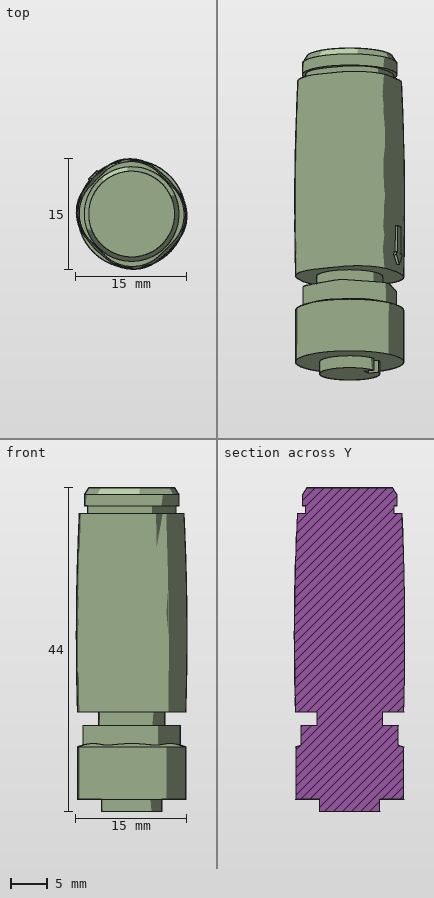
import cadquery as cq
import math

NUT_BOTTOM = 1.65
NUT_SHOULDER = 8.8
HEX_TOP = 11.7
GRIP_BOTTOM = 13.5
GRIP_WIDEST = 25.5
GRIP_TOP = 40.5
CAP_BOTTOM = 41.5
TOTAL_HEIGHT = 44.0

NOSE_RADIUS = 4.1
NUT_RADIUS = 7.35
NECK_RADIUS = 4.5
CAP_RADIUS = 6.43
CAP_CHAMFER_WIDTH = 0.6
CAP_CHAMFER_HEIGHT = 0.95

HEX_ACROSS_FLATS = 12.0
HEX_CORNER_FILLET = 2.0
NUT_CONE_ANGLE = 18.0

GRIP_SECTIONS = [
    (GRIP_BOTTOM, 7.36, (2.87, 6.22, 4.6), (3.38, 6.34, 5.04)),
    (GRIP_WIDEST, 7.515, (3.15, 6.30, 4.86), (3.50, 6.37, 5.07)),
    (GRIP_TOP, 7.12, (3.27, 5.95, 4.62), (3.35, 6.02, 4.73)),
]
GROOVE_SECTION = (GRIP_TOP, 6.03, (2.70, 5.05, 3.94), (2.82, 5.15, 4.06))

KEY_DIRECTION = 135.0
ARROW_FACE_DISTANCE = 7.5
ARROW_ROOT_DISTANCE = 6.5
ARROW_SHAFT_WIDTH = 0.97
ARROW_HEAD_WIDTH = 1.66
ARROW_TOP = 19.8
ARROW_HEAD_TOP = 16.1
ARROW_HEAD_SHOULDER = 15.7
ARROW_TIP = 14.5
KEYWAY_WIDTH = 1.44
KEYWAY_FLOOR_DISTANCE = 2.5


def cylinder(radius, bottom, top):
    """Solid cylinder about the Z axis between two heights."""
    return cq.Workplane("XY").workplane(offset=bottom).circle(radius).extrude(top - bottom)


def make_nose():
    """Short plug end with a keyway in its side."""
    nose = cylinder(NOSE_RADIUS, 0, NUT_BOTTOM)
    keyway = (
        cq.Workplane("XY")
        .center(KEYWAY_FLOOR_DISTANCE + NOSE_RADIUS / 2, 0)
        .rect(NOSE_RADIUS, KEYWAY_WIDTH)
        .extrude(NUT_BOTTOM)
        .rotate((0, 0, 0), (0, 0, 1), KEY_DIRECTION)
    )
    return nose.cut(keyway)


def make_nut():
    """Round nut whose shoulder rises as a shallow cone to a hexagon with rounded corners."""
    cone_top_radius = HEX_ACROSS_FLATS / 2
    cone_height = (NUT_RADIUS - cone_top_radius) * math.tan(math.radians(NUT_CONE_ANGLE))
    body = (
        cq.Workplane("XZ")
        .moveTo(0, NUT_BOTTOM)
        .lineTo(NUT_RADIUS, NUT_BOTTOM)
        .lineTo(NUT_RADIUS, NUT_SHOULDER)
        .lineTo(cone_top_radius, NUT_SHOULDER + cone_height)
        .lineTo(0, NUT_SHOULDER + cone_height)
        .close()
        .revolve(360, (0, 0, 0), (0, 1, 0))
    )
    hexagon = (
        cq.Workplane("XY")
        .workplane(offset=NUT_SHOULDER)
        .polygon(6, HEX_ACROSS_FLATS / math.cos(math.pi / 6))
        .extrude(HEX_TOP - NUT_SHOULDER)
        .edges("|Z")
        .fillet(HEX_CORNER_FILLET)
    )
    return body.union(hexagon)


def rounded_square(height, crest, narrow, wide):
    """Closed rounded-square wire: four crest arcs joined by four bent panels."""
    low_n, high_n, middle_n = narrow
    low_w, high_w, middle_w = wide
    return (
        cq.Workplane("XY")
        .workplane(offset=height)
        .moveTo(high_w, -low_w)
        .threePointArc((crest, 0), (high_n, low_n))
        .lineTo(middle_n, middle_n)
        .lineTo(low_n, high_n)
        .threePointArc((0, crest), (-low_w, high_w))
        .lineTo(-middle_w, middle_w)
        .lineTo(-high_w, low_w)
        .threePointArc((-crest, 0), (-high_n, -low_n))
        .lineTo(-middle_n, -middle_n)
        .lineTo(-low_n, -high_n)
        .threePointArc((0, -crest), (low_w, -high_w))
        .lineTo(middle_w, -middle_w)
        .close()
        .val()
    )


def make_grip():
    """Barrel-shaped grip lofted smoothly through its cross-sections."""
    wires = [rounded_square(*section) for section in GRIP_SECTIONS]
    return cq.Workplane(cq.Solid.makeLoft(wires))


def make_arrow():
    """Raised arrow with a flat face, reaching into the grip so that it joins it."""
    shaft = ARROW_SHAFT_WIDTH / 2
    head = ARROW_HEAD_WIDTH / 2
    outline = [
        (-shaft, ARROW_TOP),
        (-shaft, ARROW_HEAD_TOP),
        (-head, ARROW_HEAD_TOP),
        (-head, ARROW_HEAD_SHOULDER),
        (0, ARROW_TIP),
        (head, ARROW_HEAD_SHOULDER),
        (head, ARROW_HEAD_TOP),
        (shaft, ARROW_HEAD_TOP),
        (shaft, ARROW_TOP),
    ]
    return (
        cq.Workplane("YZ")
        .workplane(offset=ARROW_ROOT_DISTANCE)
        .polyline(outline)
        .close()
        .extrude(ARROW_FACE_DISTANCE - ARROW_ROOT_DISTANCE)
        .rotate((0, 0, 0), (0, 0, 1), KEY_DIRECTION)
    )


def make_groove():
    """Recessed band under the cap, a smaller rounded square like the grip's."""
    face = cq.Face.makeFromWires(rounded_square(*GROOVE_SECTION))
    return cq.Workplane(cq.Solid.extrudeLinear(face, cq.Vector(0, 0, CAP_BOTTOM - GRIP_TOP)))


def make_cap():
    """Round end cap with a chamfered rim."""
    cap = cylinder(CAP_RADIUS, CAP_BOTTOM, TOTAL_HEIGHT)
    return cap.faces(">Z").chamfer(CAP_CHAMFER_HEIGHT, CAP_CHAMFER_WIDTH)


result = (
    make_nose()
    .union(make_nut())
    .union(cylinder(NECK_RADIUS, HEX_TOP, GRIP_BOTTOM))
    .union(make_grip())
    .union(make_arrow())
    .union(make_groove())
    .union(make_cap())
)